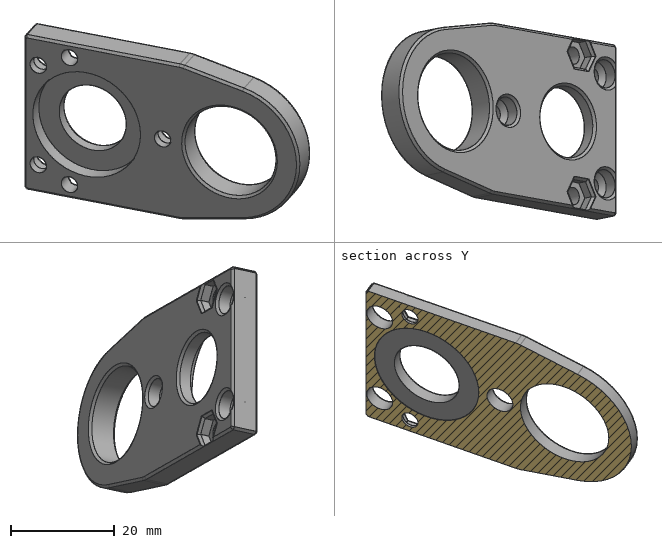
import cadquery as cq
import math

length = 57.5
thickness = 5.9
height = 33.6
edge_chamfer = 0.5

end_radius = 14.5
end_x = length - end_radius
ring_bore_diameter = 19.0

taper_start_x = 32.95
taper_blend_radius = 5.0

stepped_bore_x = 13.14
through_bore_diameter = 14.0
recess_diameter = 22.5
recess_depth = 3.0

screw_diameter = 3.4
outer_screw = (3.0, 10.8)
inner_screw = (9.53, 13.8)
middle_screw = (29.0, 0.0)

head_diameter = 5.5
head_depth = 3.0
seat_depth = (head_diameter - screw_diameter) / 2

nut_across_flats = 5.5
nut_pocket_depth = 2.5
nut_mouth_depth = 0.15


def make_plate():
    """Square-ended plate whose sides taper tangentially into a round end."""
    half_height = height / 2
    corner_dx = end_x - taper_start_x
    corner_distance = math.hypot(corner_dx, half_height)
    corner_angle = math.atan2(half_height, -corner_dx)
    tangent_angle = corner_angle - math.acos(end_radius / corner_distance)
    tangent_x = end_x + end_radius * math.cos(tangent_angle)
    tangent_z = end_radius * math.sin(tangent_angle)

    plate = (
        cq.Workplane("XZ")
        .moveTo(0, -half_height)
        .lineTo(taper_start_x, -half_height)
        .lineTo(tangent_x, -tangent_z)
        .threePointArc((length, 0), (tangent_x, tangent_z))
        .lineTo(taper_start_x, half_height)
        .lineTo(0, half_height)
        .close()
        .extrude(-thickness)
    )
    for z in (-half_height, half_height):
        taper_corner = cq.selectors.NearestToPointSelector((taper_start_x, thickness / 2, z))
        plate = plate.edges(taper_corner).fillet(taper_blend_radius)
    plate = plate.faces("<X").edges("|Y").chamfer(edge_chamfer)
    return plate.faces("<Y or >Y").edges().chamfer(edge_chamfer)


def bore(x, z, diameter, start_y, end_y):
    """Cylinder along Y, used as a cutter."""
    return cq.Workplane("XZ", origin=(x, start_y, z)).circle(diameter / 2).extrude(start_y - end_y)


def taper_cutter(x, z, small_diameter, depth, wide_y, inward):
    """45 degree cone, widest at wide_y; inward is the sign of Y towards its narrow end."""
    small_radius = small_diameter / 2
    wide_end = cq.Vector(x, wide_y, z)
    direction = cq.Vector(0, inward, 0)
    cone = cq.Solid.makeCone(small_radius + depth, small_radius, depth, wide_end, direction)
    return cq.Workplane("XY").add(cone)


def mouth(x, z, diameter, face_y, inward):
    """Cone that chamfers a bore where it opens at face_y."""
    return taper_cutter(x, z, diameter, edge_chamfer, face_y, inward)


def cut_stepped_bore(plate):
    plate = plate.cut(bore(stepped_bore_x, 0, through_bore_diameter, 0, thickness))
    plate = plate.cut(bore(stepped_bore_x, 0, recess_diameter, 0, recess_depth))
    return plate.cut(mouth(stepped_bore_x, 0, through_bore_diameter, thickness, -1))


def cut_ring_bore(plate):
    plate = plate.cut(bore(end_x, 0, ring_bore_diameter, 0, thickness))
    plate = plate.cut(mouth(end_x, 0, ring_bore_diameter, 0, 1))
    return plate.cut(mouth(end_x, 0, ring_bore_diameter, thickness, -1))


def hexagon(x, z, across_flats, start_y):
    """Hexagon in the XZ plane with two flats parallel to X."""
    across_corners = across_flats / math.cos(math.pi / 6)
    return cq.Workplane("XZ", origin=(x, start_y, z)).polygon(6, across_corners)


def cut_countersunk_hole(plate, x, z):
    head_floor_y = thickness - head_depth
    plate = plate.cut(bore(x, z, screw_diameter, 0, thickness))
    plate = plate.cut(bore(x, z, head_diameter, head_floor_y, thickness))
    plate = plate.cut(taper_cutter(x, z, screw_diameter, seat_depth, head_floor_y, -1))
    return plate.cut(mouth(x, z, head_diameter, thickness, -1))


def cut_nut_hole(plate, x, z):
    """Screw hole with a nut pocket: straight rim, 45 degree lead-in, then the pocket itself."""
    mouth_across_flats = nut_across_flats + 2 * edge_chamfer
    rim = hexagon(x, z, mouth_across_flats, thickness).extrude(nut_mouth_depth)
    lead_in = hexagon(x, z, mouth_across_flats, thickness - nut_mouth_depth).extrude(edge_chamfer, taper=45)
    pocket = hexagon(x, z, nut_across_flats, thickness).extrude(nut_pocket_depth)
    plate = plate.cut(bore(x, z, screw_diameter, 0, thickness))
    return plate.cut(rim).cut(lead_in).cut(pocket)


result = make_plate()
result = cut_stepped_bore(result)
result = cut_ring_bore(result)
result = cut_countersunk_hole(result, *middle_screw)
outer_x, outer_z = outer_screw
inner_x, inner_z = inner_screw
for side in (-1, 1):
    result = cut_countersunk_hole(result, outer_x, side * outer_z)
    result = cut_nut_hole(result, inner_x, side * inner_z)